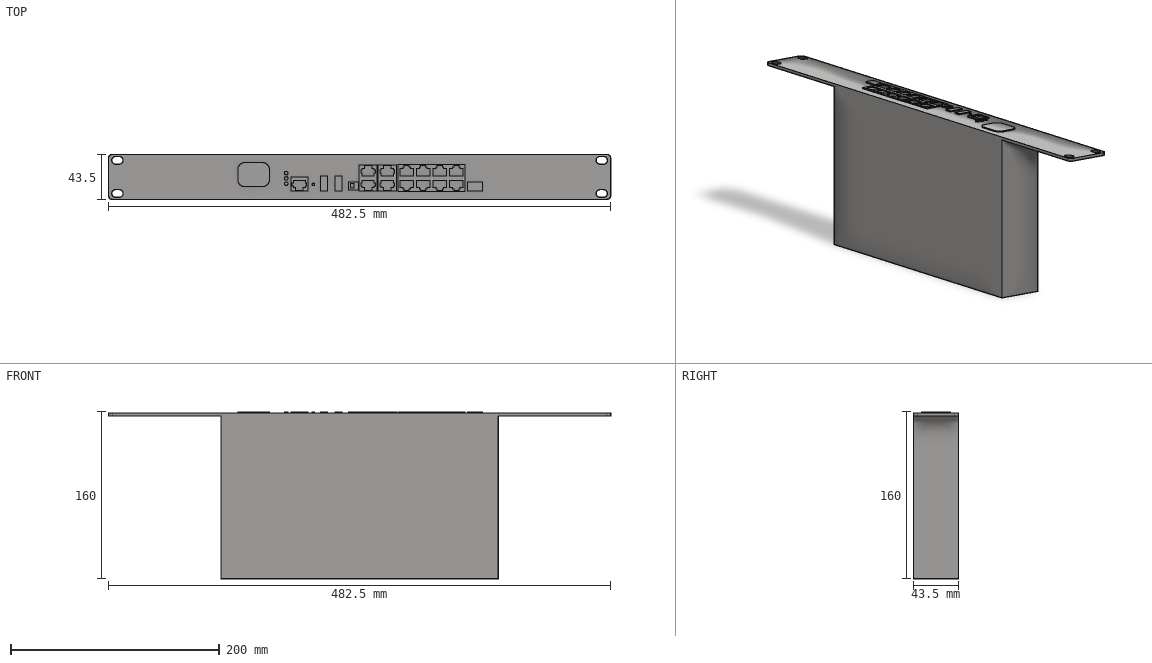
import cadquery as cq

panel_length = 482.5
panel_width = 43.5
panel_thickness = 3.0
panel_corner_radius = 4.0
total_height = 160.0
pad_height = 1.0
housing_length = 266.5
housing_height = total_height - pad_height

slot_length = 10.5
slot_width = 7.0
slot_pitch_x = 465.0
slot_pitch_y = 32.0

port_axis = -1.2
port_inner_edge = 2.15
port_shoulder = 9.0

inlet_length = 30.5
inlet_width = 23.0
inlet_corner_radius = 6.8
inlet_x = -102.0
inlet_y = 2.15

lamp_diameter = 3.5
lamp_x = -70.5
lamp_span = 10.0
lamp_middle_y = -1.5

button_diameter = 2.5
button_x = -44.5
button_y = -7.0

usb_width = 6.8
usb_height = 14.5
usb_centers_x = (-34.5, -20.5)

switch_length = 9.5
switch_height = 7.5
switch_x = -6.0
switch_y = -8.5
switch_window_length = 3.5
switch_window_height = 4.5
switch_window_offset = -1.5

cage_length = 17.5
cage_block_height = 25.0
pad_baseline = port_axis - cage_block_height / 2
cage_centers_x = (8.0, 26.5)
cage_opening_length = 11.5
cage_ear_length = 14.0
cage_ear_height = 3.0
cage_ear_offset = 6.5
cage_key_length = 7.0
cage_key_end = 12.0
console_length = 16.5
console_height = 13.5
console_x = -58.0

network_block_length = 64.0
network_block_height = 26.0
network_x = 69.0
network_columns = 4
network_pitch = 16.0
network_opening_length = 13.0
network_step_length = 7.0
network_step_end = 10.5
network_key_length = 5.0
network_key_end = 12.0

end_pad_length = 14.5
end_pad_height = 8.5
end_pad_x = 111.0


def face_box(x, y, length, width):
    """Box of pad height standing on the panel face, centred on (x, y)."""
    return cq.Workplane("XY").center(x, y).rect(length, width).extrude(pad_height)


def face_disc(x, y, diameter):
    """Disc of pad height standing on the panel face."""
    return cq.Workplane("XY").center(x, y).circle(diameter / 2).extrude(pad_height)


def band(x, axis, side, length, near, far):
    """Box between two distances from a mirror line, above (side 1) or below (side -1) it."""
    return face_box(x, axis + side * (near + far) / 2, length, far - near)


def cage_opening(x, axis, side):
    """Socket opening with an ear on each side and a key pointing away from the mirror line."""
    ear_start = cage_ear_offset - cage_ear_height / 2
    main = band(x, axis, side, cage_opening_length, port_inner_edge, port_shoulder)
    ears = band(x, axis, side, cage_ear_length, ear_start, ear_start + cage_ear_height)
    key = band(x, axis, side, cage_key_length, port_inner_edge, cage_key_end)
    return main.union(ears).union(key)


def network_opening(x, axis, side):
    """Network port opening that narrows in two steps away from the mirror line."""
    main = band(x, axis, side, network_opening_length, port_inner_edge, port_shoulder)
    step = band(x, axis, side, network_step_length, port_inner_edge, network_step_end)
    key = band(x, axis, side, network_key_length, port_inner_edge, network_key_end)
    return main.union(step).union(key)


def make_panel():
    panel = (
        cq.Workplane("XY")
        .rect(panel_length, panel_width)
        .extrude(-panel_thickness)
        .edges("|Z")
        .fillet(panel_corner_radius)
    )
    slots = (
        cq.Workplane("XY")
        .rarray(slot_pitch_x, slot_pitch_y, 2, 2)
        .slot2D(slot_length, slot_width)
        .extrude(-panel_thickness)
    )
    return panel.cut(slots)


def make_housing():
    return cq.Workplane("XY").rect(housing_length, panel_width).extrude(-housing_height)


def make_inlet():
    inlet = face_box(inlet_x, inlet_y, inlet_length, inlet_width)
    return inlet.edges("|Z").fillet(inlet_corner_radius)


def make_switch():
    pad = face_box(switch_x, switch_y, switch_length, switch_height)
    window_x = switch_x + switch_window_offset
    return pad.cut(face_box(window_x, switch_y, switch_window_length, switch_window_height))


def make_console():
    pad = face_box(console_x, pad_baseline + console_height / 2, console_length, console_height)
    return pad.cut(cage_opening(console_x, port_axis, -1))


def make_cage(x):
    cage = face_box(x, port_axis, cage_length, cage_block_height)
    for side in (1, -1):
        cage = cage.cut(cage_opening(x, port_axis, side))
    return cage


def make_network_block():
    block = face_box(network_x, port_axis, network_block_length, network_block_height)
    for column in range(network_columns):
        x = network_x + (column - (network_columns - 1) / 2) * network_pitch
        for side in (1, -1):
            block = block.cut(network_opening(x, port_axis, side))
    return block


pads = [make_inlet(), make_console(), make_switch(), make_network_block()]
pads.append(face_disc(button_x, button_y, button_diameter))
for row in (-1, 0, 1):
    pads.append(face_disc(lamp_x, lamp_middle_y + row * lamp_span / 2, lamp_diameter))
for usb_x in usb_centers_x:
    pads.append(face_box(usb_x, pad_baseline + usb_height / 2, usb_width, usb_height))
for cage_x in cage_centers_x:
    pads.append(make_cage(cage_x))
pads.append(face_box(end_pad_x, pad_baseline + end_pad_height / 2, end_pad_length, end_pad_height))

result = make_panel().union(make_housing())
for pad in pads:
    result = result.union(pad)